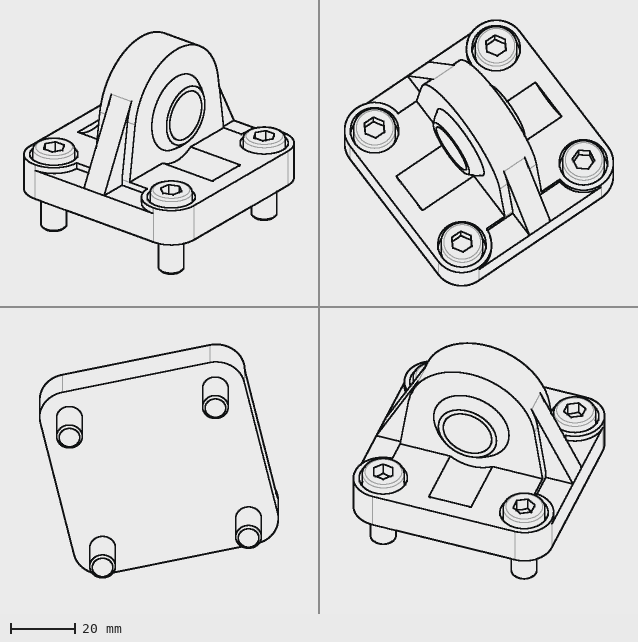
import cadquery as cq
import math

plate_side = 65.0
plate_height = 12.0
corner_radius = 9.0
half_side = plate_side / 2
ledge_height = 10.0
strip_inner_y = half_side - corner_radius

screw_offset = 23.3
boss_radius = half_side - screw_offset
counterbore_diameter = 15.0
seat_height = 6.6
head_diameter = 13.0
head_top = 14.55
head_fillet = 0.8
shank_diameter = 8.0
shank_bottom = -13.4
shank_chamfer = 0.8
socket_across_flats = 6.0
socket_depth = 3.9
socket_tip_angle = 120.0

eye_thickness = 14.05
eye_radius = 21.0
eye_centre_z = 28.0
rib_thickness = 8.0

bearing_z = 27.0
bearing_width = 21.2
ball_radius = 14.3
bore_diameter = 16.0

trough_length = 53.3
trough_width = 14.0
trough_radius = 13.0


def tangent_point(y, z):
    """Point on the eye circle where the line from (y, z), with y > 0, touches it."""
    rise = z - eye_centre_z
    angle = math.atan2(rise, y) + math.acos(eye_radius / math.hypot(y, rise))
    return eye_radius * math.cos(angle), eye_centre_z + eye_radius * math.sin(angle)


def tangent_web(foot_y, foot_z, thickness):
    """Upright web: an arc over the top with straight sides running tangentially to two feet."""
    touch_y, touch_z = tangent_point(foot_y, foot_z)
    return (
        cq.Workplane("YZ")
        .moveTo(-foot_y, foot_z)
        .lineTo(foot_y, foot_z)
        .lineTo(touch_y, touch_z)
        .threePointArc((0, eye_centre_z + eye_radius), (-touch_y, touch_z))
        .close()
        .extrude(thickness / 2, both=True)
    )


def vertical_cylinder(diameter, bottom, top):
    return cq.Workplane("XY").workplane(offset=bottom).circle(diameter / 2).extrude(top - bottom)


def make_plate():
    plate = (
        cq.Workplane("XY")
        .rect(plate_side, plate_side)
        .extrude(plate_height)
        .edges("|Z")
        .fillet(corner_radius)
    )
    strip_width = half_side - strip_inner_y
    strips = (
        cq.Workplane("XY")
        .workplane(offset=ledge_height)
        .pushPoints([(0, side * (strip_inner_y + strip_width / 2)) for side in (-1, 1)])
        .rect(2 * screw_offset, strip_width)
        .extrude(plate_height - ledge_height)
    )
    bosses = (
        cq.Workplane("XY")
        .rect(2 * screw_offset, 2 * screw_offset, forConstruction=True)
        .vertices()
        .circle(boss_radius)
        .extrude(plate_height)
    )
    return plate.cut(strips.cut(bosses)).cut(make_trough())


def make_trough():
    axis_z = plate_height + math.sqrt(trough_radius**2 - (trough_width / 2) ** 2)
    return (
        cq.Workplane("YZ")
        .center(0, axis_z)
        .circle(trough_radius)
        .extrude(trough_length / 2, both=True)
    )


def make_socket():
    """Hexagonal socket with a conical bottom, below the top of a screw head on the Z axis."""
    corner_circle = socket_across_flats / math.sqrt(3)
    tip_depth = socket_depth + corner_circle / math.tan(math.radians(socket_tip_angle / 2))
    hexagon = (
        cq.Workplane("XY")
        .workplane(offset=head_top - tip_depth)
        .polygon(6, 2 * corner_circle)
        .extrude(tip_depth)
    )
    drilled_envelope = (
        cq.Workplane("XZ")
        .moveTo(0, head_top - tip_depth)
        .lineTo(corner_circle, head_top - socket_depth)
        .lineTo(corner_circle, head_top)
        .lineTo(0, head_top)
        .close()
        .revolve(360, (0, 0), (0, 1))
    )
    return hexagon.intersect(drilled_envelope)


def make_screw():
    head = vertical_cylinder(head_diameter, seat_height, head_top).faces(">Z").edges().fillet(head_fillet)
    shank = vertical_cylinder(shank_diameter, shank_bottom, seat_height)
    shank = shank.faces("<Z").edges().chamfer(shank_chamfer)
    return head.union(shank).cut(make_socket())


def make_eye():
    """Eye plate standing on the base, stiffened by a narrower rib towards each Y edge."""
    plate_eye = tangent_web(strip_inner_y, plate_height, eye_thickness)
    trough_fill = (
        cq.Workplane("XY")
        .rect(eye_thickness, 2 * strip_inner_y)
        .extrude(plate_height)
    )
    ribs = tangent_web(half_side, ledge_height, rib_thickness)
    return plate_eye.union(trough_fill).union(ribs)


def make_ball():
    """Solid ball with its two ends cut flat, turned about an axis along X."""
    half_width = bearing_width / 2
    flat_radius = math.sqrt(ball_radius**2 - half_width**2)
    return (
        cq.Workplane("XY")
        .moveTo(-half_width, 0)
        .lineTo(-half_width, flat_radius)
        .threePointArc((0, ball_radius), (half_width, flat_radius))
        .lineTo(half_width, 0)
        .close()
        .revolve(360, (0, 0), (1, 0))
        .translate((0, 0, bearing_z))
    )


bore = (
    cq.Workplane("YZ")
    .center(0, bearing_z)
    .circle(bore_diameter / 2)
    .extrude(bearing_width / 2, both=True)
)

result = make_plate().union(make_eye()).union(make_ball()).cut(bore)

screws = [(-1, -1, 0), (-1, 1, 0), (1, 1, 0), (1, -1, 20)]
seat = vertical_cylinder(counterbore_diameter, seat_height, head_top)
screw = make_screw()
for x_side, y_side, turn in screws:
    position = (x_side * screw_offset, y_side * screw_offset, 0)
    result = result.cut(seat.translate(position))
    result = result.union(screw.rotate((0, 0, 0), (0, 0, 1), turn).translate(position))